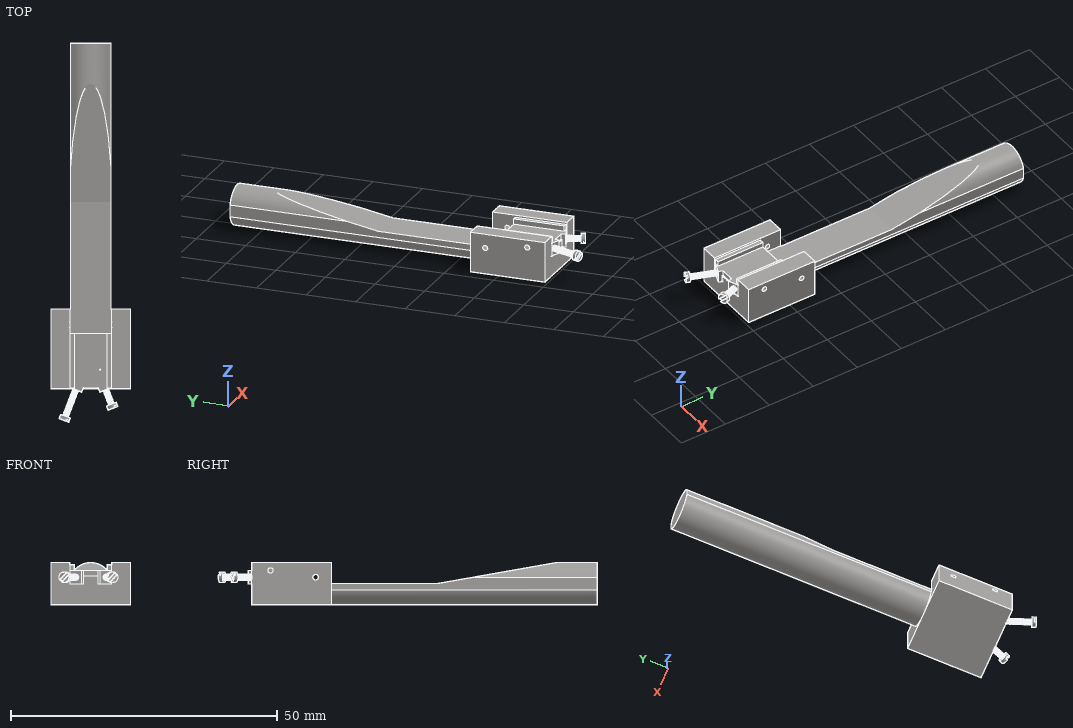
import cadquery as cq
import math


block_width = 15.0
block_length = 15.05
height = 8.0

handle_length = 49.95
handle_width = 7.6
neck_height = 4.05
neck_length = 20.0
ramp_angle = 10.0

slot_width = 7.85
seat_height = 3.9
stop_length = 0.7
stop_top = 5.4

insert_front = 0.2
insert_length = 10.2
insert_top = 6.5
lip_top = 7.55
lip_width = 0.85
lobe_tip_x = 1.7
lobe_angle = 21.0

cross_hole_diameter = 1.0
rear_hole = (12.05, 5.2)
front_hole = (3.55, 6.5)

screw_x = 2.85
thread_diameter = 1.15
thread_depth = 0.1
thread_pitch = 0.2
thread_count = 32
head_diameter = 2.0
head_thickness = 0.85
drive_slot_width = 0.6
drive_slot_depth = 0.35
drive_slot_turn = 45.0
left_head_reach = 6.1
right_head_reach = 3.7

bar_radius = height / 2
shank_length = thread_count * thread_pitch
screw_length = shank_length + head_thickness
insert_back = insert_front + insert_length
insert_half_width = slot_width / 2
lobe_slope = math.tan(math.radians(lobe_angle))
lobe_projection = (insert_half_width - lobe_tip_x) * lobe_slope
lobe_tip_y = insert_front - lobe_projection
lobe_root_x = lobe_tip_x - lobe_projection * lobe_slope
screw_y = insert_front - (insert_half_width - screw_x) * lobe_slope
screw_z = (seat_height + insert_top) / 2

screw_settings = [(-1, left_head_reach), (1, right_head_reach)]


def box(x_range, y_range, z_range):
    """Box spanning the given (low, high) ranges."""
    size = [high - low for low, high in (x_range, y_range, z_range)]
    corner = (x_range[0], y_range[0], z_range[0])
    return cq.Workplane("XY").box(*size, centered=False).translate(corner)


def make_handle():
    end_y = block_length + handle_length
    bar = (
        cq.Workplane("XZ", origin=(0, end_y, 0))
        .center(0, bar_radius)
        .circle(bar_radius)
        .extrude(handle_length)
    )
    flat_half = handle_width / 2
    bar = bar.intersect(box((-flat_half, flat_half), (block_length, end_y), (0, height)))

    ramp_start = block_length + neck_length
    ramp_end = ramp_start + (height - neck_height) / math.tan(math.radians(ramp_angle))
    above_neck = (
        cq.Workplane("YZ")
        .polyline([
            (block_length, neck_height),
            (ramp_start, neck_height),
            (ramp_end, height),
            (block_length, height),
        ])
        .close()
        .extrude(handle_width, both=True)
    )
    return bar.cut(above_neck)


def make_stop():
    """Low block left standing between the lobes to locate the insert."""
    return box((-lobe_root_x, lobe_root_x), (0, stop_length), (seat_height, stop_top))


def make_base():
    half = block_width / 2
    slot_half = slot_width / 2
    block = box((-half, half), (0, block_length), (0, height))
    base = block.union(make_handle())
    slot = box((-slot_half, slot_half), (0, block_length), (neck_height, height))
    seat = box((-slot_half, slot_half), (0, insert_back), (seat_height, neck_height))
    base = base.cut(slot.union(seat).cut(make_stop()))

    for hole_y, hole_z in (rear_hole, front_hole):
        hole = (
            cq.Workplane("YZ")
            .center(hole_y, hole_z)
            .circle(cross_hole_diameter / 2)
            .extrude(block_width, both=True)
        )
        base = base.cut(hole)
    return base


def screw_plane(side):
    """Plane on the lobe face at the screw axis; its normal points out of the lobe."""
    turn = math.radians(lobe_angle)
    return cq.Plane(
        origin=(side * screw_x, screw_y, screw_z),
        xDir=(math.cos(turn), side * math.sin(turn), 0),
        normal=(side * math.sin(turn), -math.cos(turn), 0),
    )


def make_lobe(side):
    """Wedge at the front of the insert whose long face is square to the screw."""
    outline = [
        (side * insert_half_width, insert_front),
        (side * lobe_tip_x, lobe_tip_y),
        (side * lobe_root_x, insert_front),
    ]
    lobe = cq.Workplane("XY", origin=(0, 0, seat_height)).polyline(outline).close()
    return lobe.extrude(insert_top - seat_height)


def make_insert():
    half = insert_half_width
    insert = box((-half, half), (insert_front, insert_back), (seat_height, lip_top)).cut(make_stop())
    channel_half = half - lip_width
    insert = insert.cut(
        box((-channel_half, channel_half), (insert_front, insert_back), (insert_top, lip_top))
    )
    for side, head_reach in screw_settings:
        insert = insert.union(make_lobe(side))
        hole_depth = screw_length - head_reach
        hole = cq.Workplane(screw_plane(side)).circle(thread_diameter / 2).extrude(-hole_depth)
        insert = insert.cut(hole)
    return insert


def make_screw(side, head_reach):
    """Slotted screw whose head ends head_reach outside the lobe face."""
    crest = thread_diameter / 2
    root = crest - thread_depth
    profile = cq.Workplane("XZ").moveTo(0, 0).lineTo(root, 0)
    for turn in range(thread_count):
        profile = profile.lineTo(crest, (turn + 0.5) * thread_pitch)
        profile = profile.lineTo(root, (turn + 1) * thread_pitch)
    head_radius = head_diameter / 2
    screw = (
        profile.lineTo(head_radius, shank_length)
        .lineTo(head_radius, screw_length)
        .lineTo(0, screw_length)
        .close()
        .revolve(360, (0, 0, 0), (0, 1, 0))
    )
    drive_slot = (
        cq.Workplane("XY")
        .box(head_diameter, drive_slot_width, drive_slot_depth)
        .rotate((0, 0, 0), (0, 0, 1), drive_slot_turn)
        .translate((0, 0, screw_length - drive_slot_depth / 2))
    )
    screw = screw.cut(drive_slot).translate((0, 0, head_reach - screw_length))
    return screw.val().moved(cq.Location(screw_plane(side)))


base = make_base()
insert = make_insert()
screws = [make_screw(side, reach) for side, reach in screw_settings]

result = cq.Compound.makeCompound([base.val(), insert.val(), *screws])